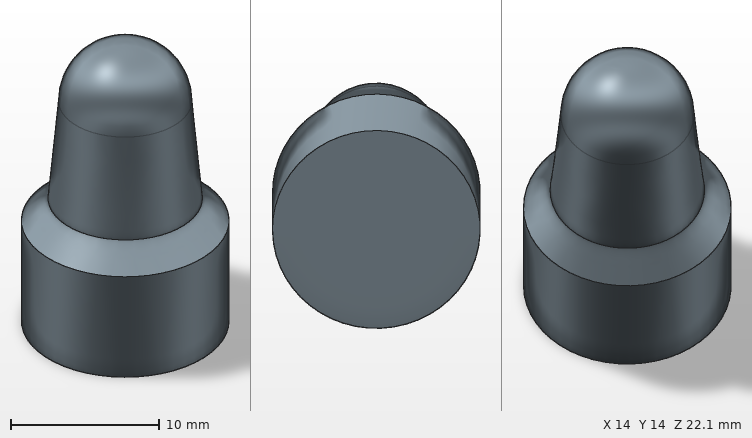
import cadquery as cq
import math

total_height = 22.15
base_radius = 7.0
base_height = 8.06
shoulder_size = 1.8
dome_radius = 4.5

neck_radius = base_radius - shoulder_size
neck_bottom = base_height + shoulder_size
dome_bottom = total_height - dome_radius
dome_mid_offset = dome_radius * math.sqrt(0.5)

profile = (
    cq.Workplane("XZ")
    .lineTo(base_radius, 0)
    .lineTo(base_radius, base_height)
    .lineTo(neck_radius, neck_bottom)
    .lineTo(dome_radius, dome_bottom)
    .threePointArc((dome_mid_offset, dome_bottom + dome_mid_offset), (0, total_height))
    .close()
)

result = profile.revolve(360, (0, 0, 0), (0, 1, 0))